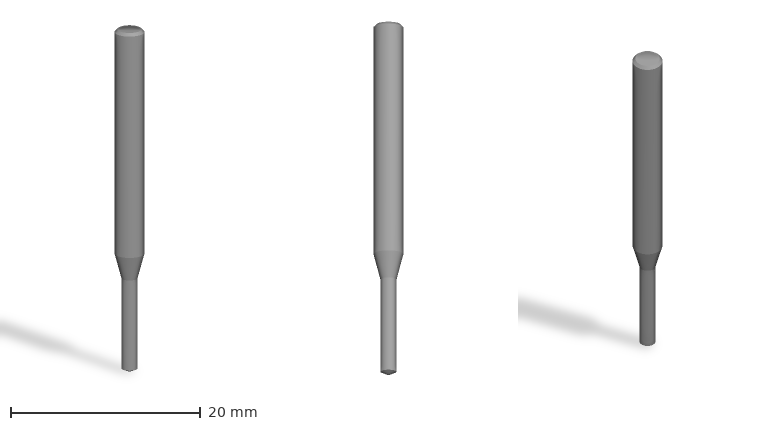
import cadquery as cq
import math

total_length = 38.1
shank_diameter = 3.15
end_chamfer = 0.3

drill_diameter = 1.7
point_angle = 130.0
joint_height = 10.2
collar_length = 0.23
taper_top_height = 13.2

shank_radius = shank_diameter / 2
drill_radius = drill_diameter / 2
point_height = drill_radius / math.tan(math.radians(point_angle / 2))
taper_bottom_height = joint_height + collar_length


def turned_body(plane, profile):
    """Revolve a closed (radius, height) profile about the Z axis."""
    return cq.Workplane(plane).polyline(profile).close().revolve(360, (0, 0), (0, 1))


def make_shank():
    """Chamfered cylinder that tapers down to a collar of the drill's diameter."""
    profile = [
        (0, joint_height),
        (-drill_radius, joint_height),
        (-drill_radius, taper_bottom_height),
        (-shank_radius, taper_top_height),
        (-shank_radius, total_length - end_chamfer),
        (-shank_radius + end_chamfer, total_length),
        (0, total_length),
    ]
    return turned_body("XZ", profile)


def make_drill():
    """Plain cylinder with a conical point, butted against the shank."""
    profile = [
        (0, 0),
        (-drill_radius, point_height),
        (-drill_radius, joint_height),
        (0, joint_height),
    ]
    return turned_body("YZ", profile)


shank = make_shank()
drill = make_drill()

result = cq.Compound.makeCompound([shank.val(), drill.val()])